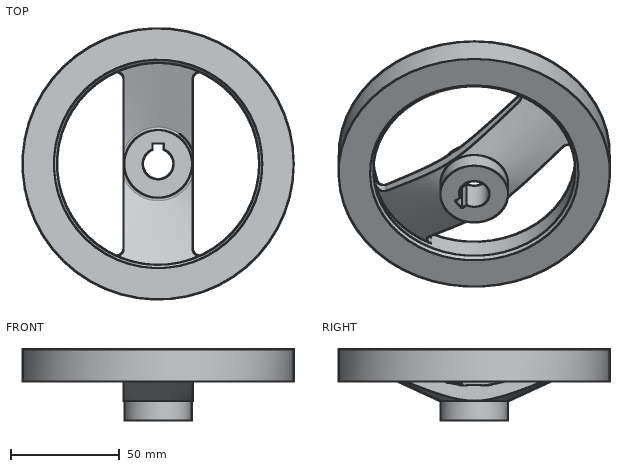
import cadquery as cq
import math

rim_diameter = 125
rim_outer_radius = rim_diameter / 2
rim_height = 15
rim_inner_radius = 46.5
rim_chamfer = 1.5

total_height = 33
hub_diameter = 31.2
hub_radius = hub_diameter / 2
rim_bottom = total_height - rim_height
hub_top = rim_bottom
hub_fillet = 1.0

spoke_width = 32
web_bottom_at_hub = 9
web_bottom_angle = math.radians(24.5)
web_top_at_hub = 15.8
web_top_at_rim = 28.2
window_corner_radius = 3

bore_diameter = 14
key_width = 5
key_top_from_axis = 9.3


def make_wheel():
    """Revolve rim, solid dished web and hub as one section."""
    web_span = rim_inner_radius - hub_radius
    web_bottom_at_rim = web_bottom_at_hub + web_span * math.tan(web_bottom_angle)
    web_top_angle = math.atan2(web_top_at_rim - web_top_at_hub, web_span)

    corner_angle = math.pi / 2 - web_top_angle
    tangent_length = hub_fillet / math.tan(corner_angle / 2)
    center_r = hub_radius + hub_fillet
    center_z = web_top_at_hub + tangent_length
    arc_start = (
        hub_radius + tangent_length * math.cos(web_top_angle),
        web_top_at_hub + tangent_length * math.sin(web_top_angle),
    )
    arc_mid_angle = math.pi + (math.pi - corner_angle) / 2
    arc_mid = (
        center_r + hub_fillet * math.cos(arc_mid_angle),
        center_z + hub_fillet * math.sin(arc_mid_angle),
    )

    section = (
        cq.Workplane("XZ")
        .moveTo(0, 0)
        .lineTo(hub_radius, 0)
        .lineTo(hub_radius, web_bottom_at_hub)
        .lineTo(rim_inner_radius, web_bottom_at_rim)
        .lineTo(rim_inner_radius, rim_bottom + rim_chamfer)
        .lineTo(rim_inner_radius + rim_chamfer, rim_bottom)
        .lineTo(rim_outer_radius, rim_bottom)
        .lineTo(rim_outer_radius, total_height)
        .lineTo(rim_inner_radius + rim_chamfer, total_height)
        .lineTo(rim_inner_radius, total_height - rim_chamfer)
        .lineTo(rim_inner_radius, web_top_at_rim)
        .lineTo(*arc_start)
        .threePointArc(arc_mid, (hub_radius, center_z))
        .lineTo(hub_radius, hub_top)
        .lineTo(0, hub_top)
        .close()
    )
    return section.revolve(360, (0, 0, 0), (0, 1, 0))


def make_windows():
    """Two circle segments, left and right of the spokes, with rounded corners."""
    corner_limit_x = spoke_width / 2 + window_corner_radius
    disc = cq.Workplane("XY").circle(rim_inner_radius).extrude(total_height)
    spoke_bar = cq.Workplane("XY").rect(spoke_width, rim_diameter).extrude(total_height)
    segments = disc.cut(spoke_bar)
    corners = cq.selectors.BoxSelector(
        (-corner_limit_x, -rim_outer_radius, 0),
        (corner_limit_x, rim_outer_radius, total_height),
    )
    return segments.edges("|Z").edges(corners).fillet(window_corner_radius)


def make_keyed_bore():
    bore = cq.Workplane("XY").circle(bore_diameter / 2).extrude(total_height)
    keyway = (
        cq.Workplane("XY")
        .center(0, key_top_from_axis / 2)
        .rect(key_width, key_top_from_axis)
        .extrude(total_height)
    )
    return bore.union(keyway)


result = make_wheel().cut(make_windows()).cut(make_keyed_bore())